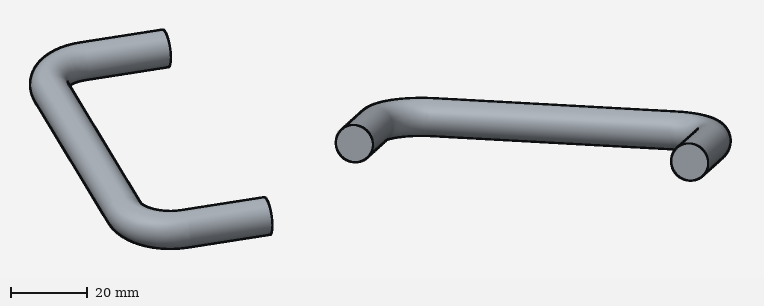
import cadquery as cq

overall_length = 100.0
overall_depth = 40.0
rod_diameter = 10.0
bend_radius = 12.5

rod_radius = rod_diameter / 2
leg_x = overall_length / 2 - rod_radius
grip_y = -(overall_depth - rod_radius)
grip_end_x = leg_x - bend_radius
leg_bend_y = grip_y + bend_radius

centreline = (
    cq.Workplane("XY")
    .moveTo(-leg_x, 0)
    .lineTo(-leg_x, leg_bend_y)
    .radiusArc((-grip_end_x, grip_y), -bend_radius)
    .lineTo(grip_end_x, grip_y)
    .radiusArc((leg_x, leg_bend_y), -bend_radius)
    .lineTo(leg_x, 0)
)

result = (
    cq.Workplane("XZ", origin=(-leg_x, 0, 0))
    .circle(rod_radius)
    .sweep(centreline)
)